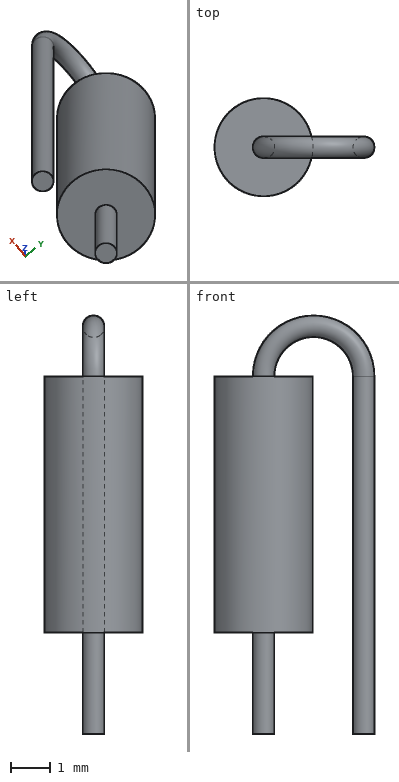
import cadquery as cq

total_height = 10.62
body_diameter = 2.5
body_length = 6.5
lead_diameter = 0.55
lead_spacing = 2.54

bend_radius = lead_spacing / 2
lead_radius = lead_diameter / 2
body_top = total_height - bend_radius - lead_radius
body_bottom = body_top - body_length


def cylinder(x, bottom, top, diameter):
    """Vertical cylinder centred on (x, 0)."""
    return cq.Workplane("XY", origin=(x, 0, bottom)).circle(diameter / 2).extrude(top - bottom)


def lead_bend():
    """Half-ring of round wire from the body axis to the outer pin."""
    return (
        cq.Workplane("XY", origin=(0, 0, body_top))
        .circle(lead_radius)
        .revolve(180, (bend_radius, 0, 0), (bend_radius, 1, 0))
    )


body = cylinder(0, body_bottom, body_top, body_diameter)
straight_pin = cylinder(0, 0, body_bottom, lead_diameter)
outer_pin = cylinder(lead_spacing, 0, body_top, lead_diameter)

result = body.union(straight_pin).union(lead_bend()).union(outer_pin)